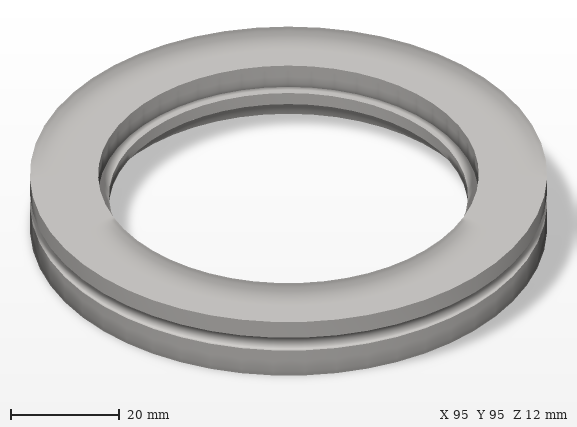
import cadquery as cq

outer_radius = 47.5
height = 12.0

lip_radius = 33.0
lip_height = 2.5
upper_bore_radius = 35.0
upper_bore_depth = 4.75
lower_bore_radius = 36.7
lower_bore_depth = height - upper_bore_depth - lip_height

groove_radius = 1.4
groove_center_z = 7.0


def make_ring():
    """Plain ring with the lip bore running right through."""
    return cq.Workplane("XY").circle(outer_radius).circle(lip_radius).extrude(height)


def make_counterbore(radius, depth, bottom_z):
    """Disc that opens the bore to a larger radius over part of the height."""
    return cq.Workplane("XY").workplane(offset=bottom_z).circle(radius).extrude(depth)


def make_groove():
    """Round-section ring centred on the rim, so half of it cuts into the body."""
    return (
        cq.Workplane("XZ")
        .center(outer_radius, groove_center_z)
        .circle(groove_radius)
        .revolve(360, (-outer_radius, 0), (-outer_radius, 1))
    )


result = (
    make_ring()
    .cut(make_counterbore(upper_bore_radius, upper_bore_depth, height - upper_bore_depth))
    .cut(make_counterbore(lower_bore_radius, lower_bore_depth, 0))
    .cut(make_groove())
)